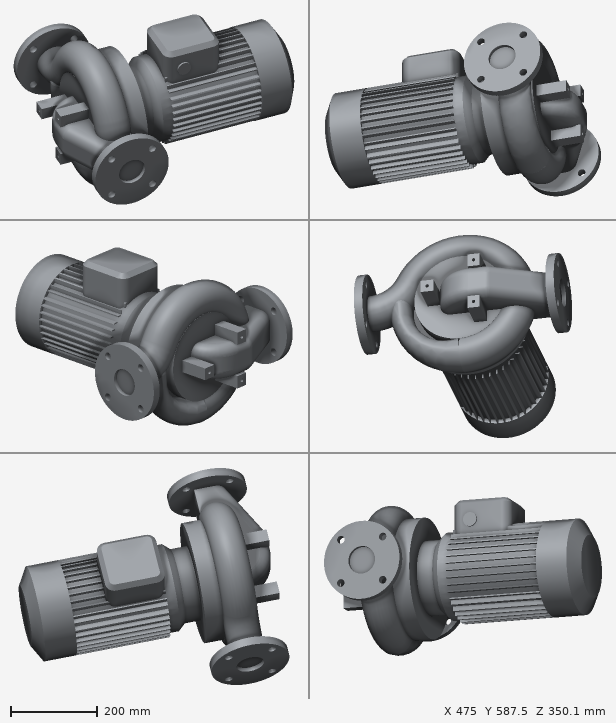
import cadquery as cq
import math


flange_span = 475.0
flange_dia = 185.0
flange_thick = 20.0
bore_dia = 65.0
bore_depth = flange_thick / 2
bolt_count = 4
bolt_circle_dia = 145.0
bolt_hole_dia = 18.0
flange_inner_x = flange_span / 2 - flange_thick

volute_radius = 133.05
tube_radius = 42.0
tail_radius = 144.0
tail_half_width = 27.5
tail_half_depth = 39.5

cover_plate_radius = 107.5
cover_plate_y = -33.5
casing_radius = 141.5
casing_back_y = 83.0

neck_radius = 87.5
neck_end_y = 120.5
body_radius = 103.0
body_start_y = 137.5
fin_start_y = 161.0
fin_end_y = 383.0
cowl_radius = 112.0
cowl_cone_y = 457.5
cowl_end_radius = 73.0
motor_end_y = 480.5

fins_per_side = 10
fin_thick = 3.0
corner_fin_reach = 83.5
fin_pitch_radius = 109.0
fin_pitch_angle = 360 / (4 * fins_per_side)

box_width = 129.0
box_front_y = 161.0
box_back_y = 301.5
box_top_z = 167.0
box_corner_radius = 22.0
box_bevel = 10.5
gland_dia = 33.0
gland_length = 4.0
gland_y = 205.5
gland_z = 117.5

elbow_width = 86.0
elbow_fillet = 24.5
elbow_left_x = -46.5
elbow_front_y = -107.0
elbow_arc_radius = 83.5
elbow_bend_x = 82.0
elbow_bend_radius = 25.0
elbow_outer_y = -40.0
elbow_inner_y = 33.0

foot_front_y = -105.0
foot_width = 29.5
foot_depth = 31.0
foot_hole_dia = 8.0
foot_hole_depth = 29.5
left_foot_x = -60.5
right_foot_x = 50.0
right_foot_z = 54.5


def front_plane(y):
    """XZ plane at the given Y, extruding toward +Y, with local x = X and local y = -Z."""
    return cq.Plane(origin=(0, y, 0), xDir=(1, 0, 0), normal=(0, 1, 0))


def disc(radius, y_start, y_end):
    return cq.Workplane(front_plane(y_start)).circle(radius).extrude(y_end - y_start)


def motor_and_casing():
    """Turned body: casing disc, neck, bell, finned barrel and fan cowl."""
    profile = [
        (0, cover_plate_y),
        (cover_plate_radius, cover_plate_y),
        (cover_plate_radius, 0),
        (casing_radius, 0),
        (casing_radius, casing_back_y),
        (neck_radius, casing_back_y),
        (neck_radius, neck_end_y),
        (body_radius, body_start_y),
        (body_radius, fin_end_y),
        (cowl_radius, fin_end_y),
        (cowl_radius, cowl_cone_y),
        (cowl_end_radius, motor_end_y),
        (0, motor_end_y),
    ]
    return cq.Workplane("XY").polyline(profile).close().revolve(360, (0, 0, 0), (0, 1, 0))


def cooling_fins():
    """Parallel fins on four sides of the barrel, trimmed to the cowl radius."""
    length = fin_end_y - fin_start_y
    mid_y = (fin_start_y + fin_end_y) / 2
    fins = disc(body_radius, fin_start_y, fin_end_y)
    for i in range(fins_per_side):
        is_outermost = i in (0, fins_per_side - 1)
        reach = corner_fin_reach if is_outermost else cowl_radius
        angle = math.radians(fin_pitch_angle * (i - (fins_per_side - 1) / 2))
        offset = fin_pitch_radius * math.sin(angle)
        plate = cq.Workplane("XY").box(2 * reach, length, fin_thick)
        horizontal = plate.translate((0, mid_y, offset))
        fins = fins.union(horizontal).union(horizontal.rotate((0, 0, 0), (0, 1, 0), 90))
    return fins.intersect(disc(cowl_radius, fin_start_y, fin_end_y))


def terminal_box():
    length = box_back_y - box_front_y
    mid_y = (box_front_y + box_back_y) / 2
    box = (
        cq.Workplane("XY")
        .center(0, mid_y)
        .rect(box_width, length)
        .extrude(box_top_z)
        .edges("|Z")
        .fillet(box_corner_radius)
        .faces(">Z")
        .chamfer(box_bevel)
    )
    gland = (
        cq.Workplane("YZ")
        .center(gland_y, gland_z)
        .circle(gland_dia / 2)
        .extrude(box_width / 2 + gland_length)
    )
    return box.union(gland)


def volute():
    """Spiral tube: outlet bend, three-quarter ring and tapering tail with a round nose."""
    bend_radius = (flange_inner_x**2 - volute_radius**2) / (2 * volute_radius)
    seam_angle = math.pi - math.asin(bend_radius / (volute_radius + bend_radius))
    half_turn = (seam_angle - math.pi / 2) / 2
    bend_mid = (
        -flange_inner_x + bend_radius * math.sin(half_turn),
        bend_radius * (1 - math.cos(half_turn)),
    )

    def ring_point(angle):
        return (volute_radius * math.cos(angle), volute_radius * math.sin(angle))

    ring_mid_angle = (seam_angle - math.pi / 2) / 2
    ring_path = (
        cq.Workplane("XZ")
        .moveTo(-flange_inner_x, 0)
        .threePointArc(bend_mid, ring_point(seam_angle))
        .threePointArc(ring_point(ring_mid_angle), (0, -volute_radius))
    )
    ring = cq.Workplane("YZ", origin=(-flange_inner_x, 0, 0)).circle(tube_radius).sweep(ring_path)

    tail_mid = (-tail_radius * math.sqrt(0.5), -tail_radius * math.sqrt(0.5))
    tail_path = (
        cq.Workplane("XZ")
        .moveTo(0, -volute_radius)
        .threePointArc(tail_mid, (-tail_radius, 0))
        .val()
    )
    sections = []
    for position, half_width, half_depth in (
        (0, tube_radius, tube_radius),
        (0.5, tail_half_width, tail_half_depth),
        (1, tail_half_width, tail_half_depth),
    ):
        section = cq.Wire.makeEllipse(
            half_depth,
            half_width,
            tail_path.positionAt(position),
            tail_path.tangentAt(position),
            xDir=cq.Vector(0, 1, 0),
        )
        sections.append(section)
    tail = cq.Solid.sweep_multi(sections, tail_path)
    nose = (
        cq.Workplane("XY")
        .moveTo(0, -tail_half_depth)
        .ellipseArc(tail_half_width, tail_half_depth, -90, 90, startAtCurrent=True)
        .close()
        .revolve(360, (0, 0, 0), (0, 1, 0))
        .translate((-tail_radius, 0, 0))
    )
    return ring.union(cq.Workplane(tail)).union(nose)


def suction_elbow():
    """Flat-sided inlet passage from the flange to the cover plate, rounded on its outer edges."""
    arc_centre_x = elbow_left_x + elbow_arc_radius
    arc_centre_y = elbow_front_y + elbow_arc_radius
    arc_mid = (
        arc_centre_x - elbow_arc_radius * math.sqrt(0.5),
        arc_centre_y - elbow_arc_radius * math.sqrt(0.5),
    )
    return (
        cq.Workplane("XY")
        .workplane(offset=-elbow_width / 2)
        .moveTo(elbow_left_x, elbow_inner_y)
        .lineTo(elbow_left_x, arc_centre_y)
        .threePointArc(arc_mid, (arc_centre_x, elbow_front_y))
        .lineTo(elbow_bend_x, elbow_front_y)
        .lineTo(flange_inner_x, elbow_outer_y)
        .lineTo(flange_inner_x, elbow_inner_y)
        .close()
        .extrude(elbow_width)
        .edges(cq.NearestToPointSelector((elbow_bend_x, elbow_front_y, 0)))
        .fillet(elbow_bend_radius)
        .faces("|Z")
        .edges("not(>X or >Y)")
        .fillet(elbow_fillet)
    )


def foot(x, z, size_x, size_z):
    """Square post standing out of the cover plate, with a blind hole in its end."""
    return (
        cq.Workplane(front_plane(foot_front_y))
        .center(x, -z)
        .rect(size_x, size_z)
        .extrude(-foot_front_y)
        .faces("<Y")
        .workplane(centerOption="CenterOfMass")
        .hole(foot_hole_dia, foot_hole_depth)
    )


def flange():
    """Flange on the -X side, with a blind bore and bolt holes between the axes."""
    return (
        cq.Workplane("YZ", origin=(-flange_span / 2, 0, 0))
        .circle(flange_dia / 2)
        .extrude(flange_thick)
        .faces("<X")
        .workplane(centerOption="CenterOfMass")
        .hole(bore_dia, bore_depth)
        .faces("<X")
        .workplane(centerOption="CenterOfMass")
        .polarArray(bolt_circle_dia / 2, 45, 360, bolt_count)
        .hole(bolt_hole_dia)
    )


result = motor_and_casing()
result = result.union(cooling_fins()).union(terminal_box())
result = result.union(volute()).union(suction_elbow())
result = result.union(foot(left_foot_x, 0, foot_depth, foot_width))
for side in (-1, 1):
    result = result.union(foot(right_foot_x, side * right_foot_z, foot_width, foot_depth))
outlet_flange = flange()
result = result.union(outlet_flange).union(outlet_flange.mirror("YZ"))